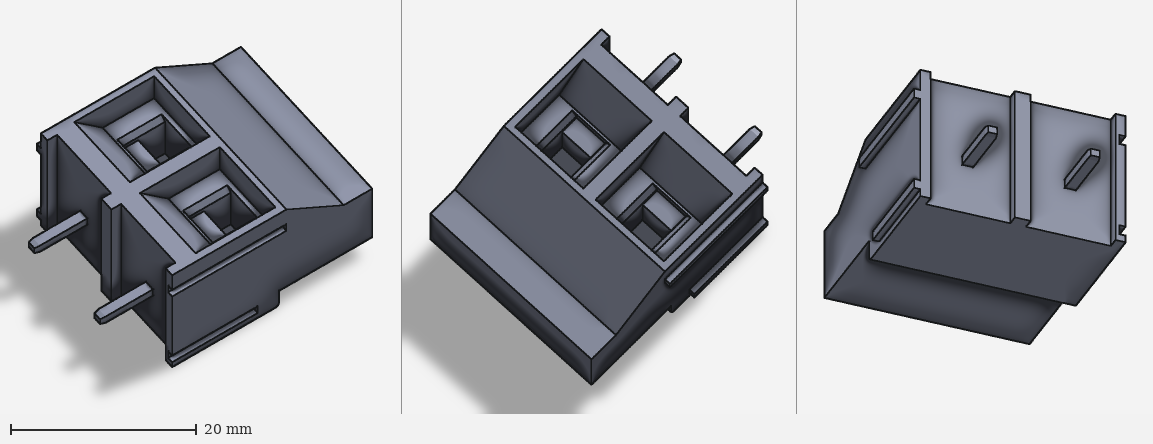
import cadquery as cq


pole_pitch = 12.0
pole_count = 2
pole_shift = -0.03
pole_centres = [(i - (pole_count - 1) / 2) * pole_pitch + pole_shift for i in range(pole_count)]

housing_width = pole_count * pole_pitch
housing_depth = 26.68
housing_height = 16.1
tail_top = 11.1
tail_bottom = 2.6
tail_flat_length = 3.8
top_length = 15.23
base_length = 14.25
base_edge_radius = 0.58

foot_depth = 1.3
divider_width = 1.85
end_foot_width = 1.2

overall_width = 24.75
rail_width = overall_width - housing_width
rail_height = 1.13
upper_rail_z = 12.4
upper_rail_length = top_length
lower_rail_z = 0.87
lower_rail_length = 11.4

pocket_width = pole_pitch - divider_width
pocket_depth = 3.85
pocket_floor_z = housing_height - pocket_depth
pocket_front_y = 3.8
pocket_slope_end_y = 7.6
pocket_back_y = 14.45

well_width = 4.35
well_chamfer = 0.65
well_front_y = 7.92
well_back_y = 13.8

pin_offset_x = 0.1
pin_width = 1.3
pin_height = 1.1
pin_bottom_z = 6.08
pin_end_y = -5.65
pin_tip_length = 0.65
pin_tip_inset = 0.13

well_floor_z = pin_bottom_z
plate_width = 4.43
plate_back_y = 10.2
plate_top_z = 11.2


def block(x_range, y_range, z_range):
    """Box between the given pairs of coordinates."""
    lows, highs = zip(x_range, y_range, z_range)
    sizes = [high - low for low, high in zip(lows, highs)]
    return cq.Workplane("XY").box(*sizes, centered=False).translate(lows)


def centred(middle, width):
    """Coordinate pair of the given width around a middle."""
    return middle - width / 2, middle + width / 2


def make_shell():
    """Solid housing outline with its rounded lower edge."""
    outline = [
        (0, 0),
        (base_length, 0),
        (base_length, tail_bottom),
        (housing_depth, tail_bottom),
        (housing_depth, tail_top),
        (housing_depth - tail_flat_length, tail_top),
        (top_length, housing_height),
        (0, housing_height),
    ]
    shell = cq.Workplane("YZ").polyline(outline).close().extrude(housing_width / 2, both=True)
    base_edge = cq.selectors.NearestToPointSelector((0, base_length, 0))
    return shell.edges(base_edge).fillet(base_edge_radius)


def make_foot_gap(pole):
    """Space between the feet at one pole; an end foot is wider than half a divider."""
    centre = pole_centres[pole]
    left = centre - pocket_width / 2
    right = centre + pocket_width / 2
    if pole == 0:
        left = -housing_width / 2 + end_foot_width
    if pole == pole_count - 1:
        right = housing_width / 2 - end_foot_width
    return block((left, right), (0, foot_depth), (0, housing_height))


def make_rails(start_x):
    """Both joining rails, reaching rail_width in +X from start_x."""
    x_range = (start_x, start_x + rail_width)
    upper = block(x_range, (0, upper_rail_length), (upper_rail_z, upper_rail_z + rail_height))
    lower = block(x_range, (0, lower_rail_length), (lower_rail_z, lower_rail_z + rail_height))
    return upper, lower


def make_pocket(centre_x):
    """Wire entry pocket, narrowing downwards along its sloping wall."""
    outline = [
        (pocket_front_y, housing_height),
        (pocket_slope_end_y, pocket_floor_z),
        (pocket_back_y, pocket_floor_z),
        (pocket_back_y, housing_height),
    ]
    pocket = cq.Workplane("YZ").polyline(outline).close().extrude(pocket_width / 2, both=True)
    return pocket.translate((centre_x, 0, 0))


def make_well(centre_x):
    """Wire well with a 45 degree chamfer along each side of its mouth."""
    half_width = well_width / 2
    mouth_half_width = half_width + well_chamfer
    outline = [
        (-half_width, well_floor_z),
        (half_width, well_floor_z),
        (half_width, pocket_floor_z - well_chamfer),
        (mouth_half_width, pocket_floor_z),
        (-mouth_half_width, pocket_floor_z),
        (-half_width, pocket_floor_z - well_chamfer),
    ]
    well = cq.Workplane("XZ").polyline(outline).close().extrude(well_front_y - well_back_y)
    return well.translate((centre_x, well_front_y, 0))


def make_pin(centre_x):
    """Rectangular pin from its contact plate to a tapered tip."""
    shank_end_y = pin_end_y + pin_tip_length
    middle_x = centre_x + pin_offset_x
    middle_z = pin_bottom_z + pin_height / 2
    shank = block(
        centred(middle_x, pin_width),
        (shank_end_y, well_front_y),
        centred(middle_z, pin_height),
    )
    tip = (
        cq.Workplane("XZ", origin=(middle_x, shank_end_y, middle_z))
        .rect(pin_width, pin_height)
        .workplane(offset=pin_tip_length)
        .rect(pin_width - 2 * pin_tip_inset, pin_height - 2 * pin_tip_inset)
        .loft()
    )
    return shank.union(tip)


def make_contact_plate(centre_x):
    """Contact plate in line with its pin, let into the +X wall of the well."""
    return block(
        centred(centre_x + pin_offset_x, plate_width),
        (well_front_y, plate_back_y),
        (well_floor_z, plate_top_z),
    )


def make_housing(inserts):
    """Housing with all its openings and a matching seat for each insert."""
    housing = make_shell()
    for pole, centre_x in enumerate(pole_centres):
        housing = housing.cut(make_foot_gap(pole))
        housing = housing.cut(make_pocket(centre_x))
        housing = housing.cut(make_well(centre_x))
    for rail in make_rails(-housing_width / 2 - rail_width):
        housing = housing.union(rail)
    for groove in make_rails(housing_width / 2 - rail_width):
        housing = housing.cut(groove)
    for insert in inserts:
        housing = housing.cut(insert)
    return housing


pins = [make_pin(centre_x) for centre_x in pole_centres]
contact_plates = [make_contact_plate(centre_x) for centre_x in pole_centres]
housing = make_housing(pins + contact_plates)

result = cq.Compound.makeCompound(
    [
        housing.val(),
        *[pin.val() for pin in pins],
        *[plate.val() for plate in contact_plates],
    ]
)